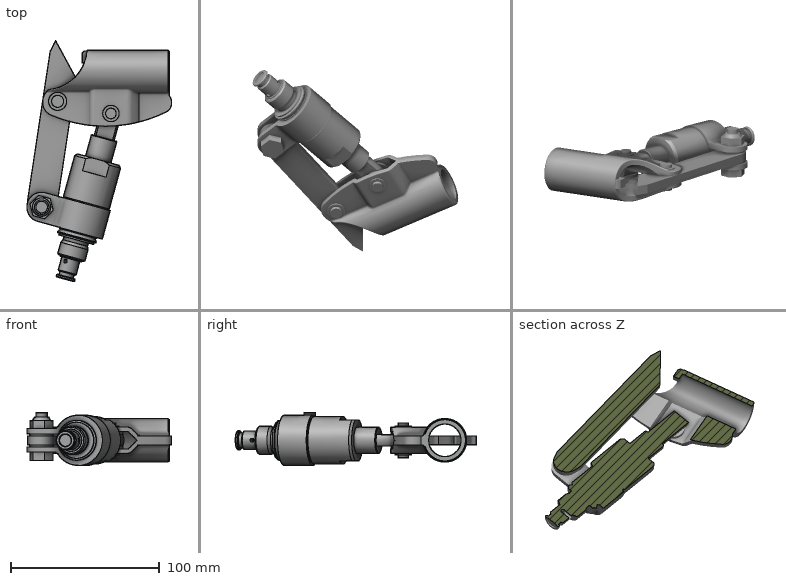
import cadquery as cq
import math


PUMP_TILT = 15.4
SHEET = 3.0

ROD_RADIUS = 7.0
ROD_FLAT_HALF = 3.9
ROD_END = 8.1
SLEEVE_START = 17.0
SLEEVE_RADIUS = 8.9
SLEEVE_CHAMFER = 0.5
BODY_START = 32.0
BODY_RADIUS = 16.0
BODY_CHAMFER = 1.6
WRENCH_FLAT_END = 42.1
WRENCH_FLAT_HALF = 13.8
BODY_END = 62.2
GROOVE_RADIUS = 15.2
STRAP_START = 63.0
STRAP_END = 83.0
STRAP_RADIUS = 16.93
CORE_RADIUS = 13.5

EAR_INNER = 4.4
EAR_OUTER = 8.0
EAR_FILLET = 3.2
BOLT_OFFSET = 28.2
BOLT_RADIUS = 3.9
BOLT_TOP = 18.55
HEX_CIRCUMRADIUS = 8.1
HEAD_BOTTOM = 13.6
NUT_TOP = 13.3
NUT_COLLAR_TOP = 15.5
NUT_COLLAR_BASE_RADIUS = 6.2
NUT_COLLAR_TIP_RADIUS = 4.9
SPACER_RADIUS = 8.1

SPIGOT_RADIUS = 6.3
PORT_COUNT = 3
PORT_POSITION = 103.7
PORT_RADIUS = 1.3

LEVER_PIVOT = (-35.8, 8.18)
LEVER_HALF_WIDTH = 10.0
LEVER_END = 8.7
LEVER_TAPER_START = 2.6
LEVER_TAPER_END = -2.3
LEVER_TAPER_HALF_WIDTH = 8.7
LEVER_LEFT_SHOULDER = 32.2
LEVER_RIGHT_SHOULDER = 17.0
LEVER_TIP = 40.2
LEVER_TIP_OFFSET = 7.5

TUBE_Y = 27.9
TUBE_RADIUS = 14.66
TUBE_BORE_RADIUS = 10.9
TUBE_END_X = 39.2
TUBE_CHAMFER = 0.8
SCOOP_CENTER = (-44.2, 44.2)
SCOOP_RADIUS = 28.2
PIVOT_EAR_RADIUS = 9.9
HAT_OUTER = 8.9
LEFT_BEND_ANGLE = 58.0
LEFT_BEND_X = -12.8
RIGHT_BEND_ANGLE = 45.0
RIGHT_BEND_X = 12.8
LEFT_FOOT_RADIUS = 2.0
LEFT_CREST_RADIUS = 3.7
RIGHT_CREST_RADIUS = 5.0
PLAN_LIMIT = 64.8
RIM_FILLET = 0.6
RIM_WINDOW = ((-32.4, -8.1), (-22.7, -3.2))
TUBE_FILLET = 1.5
EAR_ROUND = 8.9
NOSE_ROUND = 6.5
EAR_BLEND = 4.9
EAR_CORNER_Y = 1.5
BELLY = (-1.6, -8.6)
NOSE_X = 40.8
NOSE_CORNER_Y = 2.9
NOSE_TANGENT_Y = 7.5
NOSE_TOP_Y = 12.0
TAB_X = (-19.3, -14.5)
TAB_Y = (34.0, 42.1)
TAB_CHAMFER = 1.5

WASHER_THICKNESS = 0.8
ROD_PIN_RADIUS = 3.5
ROD_PIN_WASHER_RADIUS = 5.5
ROD_PIN_HALF = 11.75
ROD_PIN_SPACER_RADIUS = 8.0
LEVER_PIN_RADIUS = 4.0
LEVER_PIN_WASHER_RADIUS = 6.07
LEVER_PIN_HALF = 8.9

tilt = math.radians(PUMP_TILT)
bolt_along = (STRAP_START + STRAP_END) / 2
bolt = (
    -BOLT_OFFSET * math.cos(tilt) - bolt_along * math.sin(tilt),
    BOLT_OFFSET * math.sin(tilt) - bolt_along * math.cos(tilt),
)


def cylinder_z(radius, bottom, top, center=(0, 0)):
    """Cylinder along Z between two heights."""
    return cq.Workplane("XY", origin=(*center, bottom)).circle(radius).extrude(top - bottom)


def box(x_range, y_range, z_range):
    """Box between pairs of limits."""
    sizes = [high - low for low, high in (x_range, y_range, z_range)]
    corner = (x_range[0], y_range[0], z_range[0])
    return cq.Workplane("XY").box(*sizes, centered=False).translate(corner)


def pin(center, radius, half_length, washer_radius, seat):
    """Cross pin with a washer resting on each seat face."""
    washer_top = seat + WASHER_THICKNESS
    solid = cylinder_z(radius, -half_length, half_length, center)
    for low, high in ((seat, washer_top), (-washer_top, -seat)):
        solid = solid.union(cylinder_z(washer_radius, low, high, center))
    return solid


def turned(profile):
    """Revolve (radius, distance from the rod pin) points about the pump axis."""
    first, last = profile[0][1], profile[-1][1]
    points = [(0, -first)] + [(r, -d) for r, d in profile] + [(0, -last)]
    return cq.Workplane("XY").polyline(points).close().revolve(360, (0, 0), (0, 1))


def make_rod():
    rod = turned([(ROD_RADIUS, -ROD_END), (ROD_RADIUS, SLEEVE_START)])
    span = (-SLEEVE_START, ROD_END)
    return rod.intersect(box((-ROD_RADIUS, ROD_RADIUS), span, (-ROD_FLAT_HALF, ROD_FLAT_HALF)))


def make_body():
    body = turned([
        (SLEEVE_RADIUS - SLEEVE_CHAMFER, SLEEVE_START),
        (SLEEVE_RADIUS, SLEEVE_START + SLEEVE_CHAMFER),
        (SLEEVE_RADIUS, BODY_START),
        (BODY_RADIUS - BODY_CHAMFER, BODY_START),
        (BODY_RADIUS, BODY_START + BODY_CHAMFER),
        (BODY_RADIUS, BODY_END),
        (GROOVE_RADIUS, BODY_END),
        (GROOVE_RADIUS, STRAP_START),
        (CORE_RADIUS, STRAP_START),
        (CORE_RADIUS, STRAP_END),
    ])
    for side in (-1, 1):
        limits = sorted((side * WRENCH_FLAT_HALF, side * 2 * BODY_RADIUS))
        span = (-WRENCH_FLAT_END, -BODY_START)
        body = body.cut(box((-BODY_RADIUS, BODY_RADIUS), span, limits))
    return body


def make_strap():
    strap = turned([(STRAP_RADIUS, STRAP_START), (STRAP_RADIUS, STRAP_END)])
    ear_radius = (STRAP_END - STRAP_START) / 2
    ears = box((-BOLT_OFFSET, 0), (-STRAP_END, -STRAP_START), (-EAR_OUTER, EAR_OUTER))
    strap = strap.union(ears)
    flare = -math.sqrt(STRAP_RADIUS**2 - EAR_OUTER**2)
    selector = cq.selectors.BoxSelector(
        (flare - 0.2, -STRAP_END, -EAR_OUTER - 0.2),
        (flare + 0.2, -STRAP_START, EAR_OUTER + 0.2),
    )
    strap = strap.edges(selector).edges("|Y").fillet(EAR_FILLET)
    strap = strap.union(cylinder_z(ear_radius, -EAR_OUTER, EAR_OUTER, (-BOLT_OFFSET, -bolt_along)))
    gap = box((-2 * BOLT_OFFSET, 0), (-STRAP_END, -STRAP_START), (-EAR_INNER, EAR_INNER))
    return strap.cut(gap)


def make_cartridge():
    shoulder = [
        (12.8, STRAP_END), (12.8, 83.5), (12.0, 83.5), (13.5, 85.8),
        (13.5, 86.5), (12.1, 86.8), (12.1, 88.0),
    ]
    neck = [(8.6, 88.0), (8.6, 90.2)]
    barrel = [(9.5, 92.3), (9.5, 100.0), (8.7, 100.7), (7.5, 100.7), (7.5, 101.4)]
    spigot = [(SPIGOT_RADIUS, 101.4), (SPIGOT_RADIUS, 110.5), (5.7, 111.1)]
    seal_groove = [(5.0, 111.1), (5.0, 113.5)]
    end_disc = [(6.0, 113.5), (6.5, 114.0), (6.5, 115.0), (6.0, 115.5)]
    end_recess = [(4.4, 115.5), (4.0, 115.0)]
    cartridge = turned(shoulder + neck + barrel + spigot + seal_groove + end_disc + end_recess)
    port = cylinder_z(PORT_RADIUS, 0, SPIGOT_RADIUS + 1.6, (0, -PORT_POSITION))
    for index in range(PORT_COUNT):
        angle = 90 + index * 360 / PORT_COUNT
        cartridge = cartridge.cut(port.rotate((0, 0, 0), (0, 1, 0), angle))
    return cartridge


def make_clevis_bolt():
    center = (-BOLT_OFFSET, -bolt_along)
    solid = cylinder_z(BOLT_RADIUS, -HEAD_BOTTOM, BOLT_TOP, center)
    for low, high in ((EAR_OUTER, NUT_TOP), (-HEAD_BOTTOM, -EAR_OUTER)):
        hexagon = cq.Workplane("XY", origin=(*center, low)).polygon(6, 2 * HEX_CIRCUMRADIUS)
        solid = solid.union(hexagon.extrude(high - low))
    collar = cq.Solid.makeCone(
        NUT_COLLAR_BASE_RADIUS, NUT_COLLAR_TIP_RADIUS, NUT_COLLAR_TOP - NUT_TOP,
        pnt=cq.Vector(*center, NUT_TOP),
    )
    spacer = cylinder_z(SPACER_RADIUS, -EAR_INNER, EAR_INNER, center)
    return solid.union(cq.Workplane(obj=collar)).union(spacer)


def make_lever():
    """Flat lever from the clevis bolt through its pivot to a pointed tip."""
    dx, dy = LEVER_PIVOT[0] - bolt[0], LEVER_PIVOT[1] - bolt[1]
    pivot_distance = math.hypot(dx, dy)
    lever = (
        cq.Workplane("XY", origin=(0, 0, -SHEET))
        .moveTo(-LEVER_TAPER_HALF_WIDTH, LEVER_TAPER_END)
        .lineTo(-LEVER_HALF_WIDTH, LEVER_TAPER_START)
        .lineTo(-LEVER_HALF_WIDTH, pivot_distance + LEVER_LEFT_SHOULDER)
        .lineTo(-LEVER_TIP_OFFSET, pivot_distance + LEVER_TIP)
        .lineTo(LEVER_HALF_WIDTH, pivot_distance + LEVER_RIGHT_SHOULDER)
        .lineTo(LEVER_HALF_WIDTH, LEVER_TAPER_START)
        .lineTo(LEVER_TAPER_HALF_WIDTH, LEVER_TAPER_END)
        .threePointArc((0, -LEVER_END), (-LEVER_TAPER_HALF_WIDTH, LEVER_TAPER_END))
        .close()
        .extrude(2 * SHEET)
    )
    lean = math.degrees(math.atan2(dx, dy))
    return lever.rotate((0, 0, 0), (0, 0, 1), -lean).translate((*bolt, 0))


def hat_section(raised_half, left_half, right_half, left_x, right_x):
    """Symmetric XZ section with a raised middle, extruded along Y past the bracket."""
    left_run = (raised_half - left_half) / math.tan(math.radians(LEFT_BEND_ANGLE))
    right_run = (raised_half - right_half) / math.tan(math.radians(RIGHT_BEND_ANGLE))
    upper = [
        (-PLAN_LIMIT, left_half), (left_x - left_run, left_half), (left_x, raised_half),
        (right_x, raised_half), (right_x + right_run, right_half),
    ]
    if right_half > 0:
        upper.append((PLAN_LIMIT, right_half))
    lower = [(x, -z) for x, z in reversed(upper) if z > 0]
    return cq.Workplane("XZ", origin=(0, TUBE_Y, 0)).polyline(upper + lower).close().extrude(2 * TUBE_Y)


def fillet_bend(hat, x, height, radius):
    """Round the upper and lower bend lines at one corner of the section."""
    for z in (-height, height):
        near = cq.selectors.NearestToPointSelector((x, 0, z))
        hat = hat.edges("|Y").edges(near).fillet(radius)
    return hat


def make_outline():
    """Bracket outline seen along Z, over the full height of the tube."""
    pivot_x, pivot_y = LEVER_PIVOT
    ear_left = pivot_x - PIVOT_EAR_RADIUS
    diagonal = PIVOT_EAR_RADIUS / math.sqrt(2)
    tube_top = TUBE_Y + TUBE_RADIUS
    ear_corner = (ear_left, EAR_CORNER_Y)
    nose_corner = (NOSE_X, NOSE_CORNER_Y)
    outline = (
        cq.Workplane("XY", origin=(0, 0, -TUBE_RADIUS))
        .moveTo(*ear_corner)
        .threePointArc(BELLY, nose_corner)
        .lineTo(NOSE_X, NOSE_TANGENT_Y)
        .tangentArcPoint((TUBE_END_X, NOSE_TOP_Y), relative=False)
        .lineTo(TUBE_END_X, tube_top)
        .lineTo(pivot_x, tube_top)
        .lineTo(pivot_x, pivot_y + PIVOT_EAR_RADIUS)
        .threePointArc((pivot_x - diagonal, pivot_y + diagonal), (ear_left, pivot_y))
        .close()
        .extrude(2 * TUBE_RADIUS)
    )
    outline = outline.cut(cylinder_z(SCOOP_RADIUS, -TUBE_RADIUS, TUBE_RADIUS, SCOOP_CENTER))
    scoop_corner = (pivot_x - diagonal, pivot_y + diagonal)
    roundings = ((ear_corner, EAR_ROUND), (nose_corner, NOSE_ROUND), (scoop_corner, EAR_BLEND))
    for corner, radius in roundings:
        nearest = cq.selectors.NearestToPointSelector((*corner, 0))
        outline = outline.edges("|Z").edges(nearest).fillet(radius)
    return outline


def tube_end_bevel():
    """Ring that bevels the tube end, stopping where the plates join the tube."""
    tube_top = TUBE_Y + TUBE_RADIUS
    ring = (
        cq.Workplane("XY")
        .moveTo(TUBE_END_X - TUBE_CHAMFER, tube_top)
        .lineTo(TUBE_END_X, tube_top)
        .lineTo(TUBE_END_X, tube_top - TUBE_CHAMFER)
        .close()
        .revolve(360, (0, TUBE_Y), (1, TUBE_Y))
    )
    plate_seam = TUBE_Y - TUBE_RADIUS + TUBE_FILLET
    return ring.intersect(box((0, TUBE_END_X), (plate_seam, tube_top), (-TUBE_RADIUS, TUBE_RADIUS)))


def make_bracket():
    left_half = 2 * SHEET
    left_run = (HAT_OUTER - left_half) / math.tan(math.radians(LEFT_BEND_ANGLE))
    hat = hat_section(HAT_OUTER, left_half, SHEET, LEFT_BEND_X, RIGHT_BEND_X)
    hat = fillet_bend(hat, LEFT_BEND_X - left_run, left_half, LEFT_FOOT_RADIUS)
    hat = fillet_bend(hat, LEFT_BEND_X, HAT_OUTER, LEFT_CREST_RADIUS)
    hat = fillet_bend(hat, RIGHT_BEND_X, HAT_OUTER, RIGHT_CREST_RADIUS)
    tube = cq.Workplane("YZ", origin=(-PLAN_LIMIT, TUBE_Y, 0)).circle(TUBE_RADIUS).extrude(2 * PLAN_LIMIT)
    bracket = hat.union(tube)
    seam = cq.selectors.BoxSelector(
        (1.6 - PLAN_LIMIT, 0, -HAT_OUTER - 1.6), (PLAN_LIMIT - 1.6, TUBE_Y - HAT_OUTER, HAT_OUTER + 1.6)
    )
    bracket = bracket.edges(seam).fillet(TUBE_FILLET)
    bracket = bracket.intersect(make_outline())
    rim_low, rim_high = RIM_WINDOW
    rim = cq.selectors.BoxSelector((*rim_low, -HAT_OUTER), (*rim_high, HAT_OUTER))
    bracket = bracket.edges(rim).fillet(RIM_FILLET)
    bracket = bracket.cut(tube_end_bevel())

    bore = cq.Workplane("YZ", origin=(-PLAN_LIMIT, TUBE_Y, 0)).circle(TUBE_BORE_RADIUS).extrude(2 * PLAN_LIMIT)
    left_inset = SHEET * math.tan(math.radians(LEFT_BEND_ANGLE / 2))
    right_inset = SHEET * math.tan(math.radians(RIGHT_BEND_ANGLE / 2))
    pocket = hat_section(
        HAT_OUTER - SHEET, SHEET, 0, LEFT_BEND_X + left_inset, RIGHT_BEND_X - right_inset
    )
    return bracket.cut(bore).cut(pocket)


def make_tab():
    """Stop tab standing out of the scooped end of the tube wall."""
    tab = box(TAB_X, TAB_Y, (-SHEET, SHEET))
    return tab.edges("|Z and <X and >Y").chamfer(TAB_CHAMFER)


pump = make_rod().union(make_body()).union(make_strap()).union(make_cartridge()).union(make_clevis_bolt())
pump = pump.rotate((0, 0, 0), (0, 0, 1), -PUMP_TILT)

rod_pin = pin((0, 0), ROD_PIN_RADIUS, ROD_PIN_HALF, ROD_PIN_WASHER_RADIUS, HAT_OUTER)
spacer_seat = HAT_OUTER - SHEET
for low, high in ((ROD_FLAT_HALF, spacer_seat), (-spacer_seat, -ROD_FLAT_HALF)):
    rod_pin = rod_pin.union(cylinder_z(ROD_PIN_SPACER_RADIUS, low, high))
lever_pin = pin(LEVER_PIVOT, LEVER_PIN_RADIUS, LEVER_PIN_HALF, LEVER_PIN_WASHER_RADIUS, 2 * SHEET)

result = make_bracket().union(make_tab()).union(make_lever()).union(pump)
result = result.union(rod_pin).union(lever_pin)